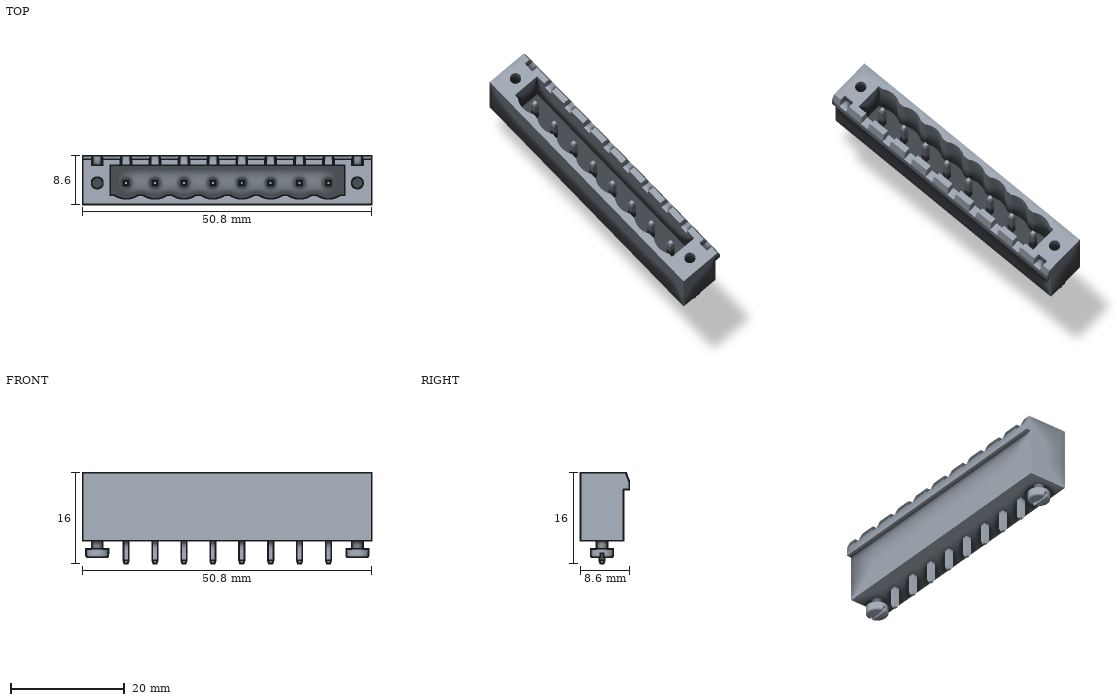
import cadquery as cq

PITCH = 5.08
PIN_COUNT = 8
STATION_COUNT = PIN_COUNT + 2
LENGTH = STATION_COUNT * PITCH
STATIONS = [(i - (STATION_COUNT - 1) / 2) * PITCH for i in range(STATION_COUNT)]
PIN_XS = STATIONS[1:-1]
SCREW_XS = [STATIONS[0], STATIONS[-1]]
AXIS_Y = 3.8

HEIGHT = 12.0
DEPTH = 8.6
LIP_OVERHANG = 1.0
LIP_HEIGHT = 3.0
LIP_BEVEL_DEPTH = 0.6
LIP_BEVEL_HEIGHT = 1.5

CAVITY_END_WALL = 4.8
CAVITY_LENGTH = LENGTH - 2 * CAVITY_END_WALL
CAVITY_FRONT_Y = 1.6
CAVITY_BACK_Y = 6.9
CAVITY_FLOOR_Z = 3.5
SCALLOP_WIDTH = 4.0
SCALLOP_DEPTH = 0.6

NOTCH_FRONT_Y = CAVITY_BACK_Y
NOTCH_TOP_WIDTH = 2.0
NOTCH_FLOOR_WIDTH = 1.5
NOTCH_DEPTH = 1.5

PIN_WIDTH = 1.0
PIN_TIP_WIDTH = 0.6
PIN_TIP_LENGTH = 0.6
PIN_BOTTOM_Z = -4.0
PIN_TOP_Z = 10.0

SCREW_DIAMETER = 2.0
SCREW_NECK_LENGTH = 1.4
SCREW_HEAD_DIAMETER = 4.0
SCREW_HEAD_HEIGHT = 1.5
SCREW_HEAD_FILLET = 0.4
SCREW_SLOT_WIDTH = 0.6
SCREW_SLOT_DEPTH = 0.75
HOLE_DIAMETER = SCREW_DIAMETER
HOLE_DEPTH = 6.0


def make_shell():
    """Block with a beveled latching lip along the top of its rear face."""
    wall_y = DEPTH - LIP_OVERHANG
    section = [
        (0, 0),
        (wall_y, 0),
        (wall_y, HEIGHT - LIP_HEIGHT),
        (DEPTH, HEIGHT - LIP_HEIGHT),
        (DEPTH, HEIGHT - LIP_BEVEL_HEIGHT),
        (DEPTH - LIP_BEVEL_DEPTH, HEIGHT),
        (0, HEIGHT),
    ]
    return cq.Workplane("YZ").polyline(section).close().extrude(LENGTH / 2, both=True)


def make_cavity():
    """Plug cavity whose front wall is scalloped opposite every pin."""
    half_length = CAVITY_LENGTH / 2
    outline = cq.Workplane("XY", origin=(0, 0, CAVITY_FLOOR_Z)).moveTo(-half_length, CAVITY_FRONT_Y)
    for x in PIN_XS:
        outline = outline.lineTo(x - SCALLOP_WIDTH / 2, CAVITY_FRONT_Y)
        bottom = (x, CAVITY_FRONT_Y - SCALLOP_DEPTH)
        outline = outline.threePointArc(bottom, (x + SCALLOP_WIDTH / 2, CAVITY_FRONT_Y))
    outline = outline.lineTo(half_length, CAVITY_FRONT_Y)
    outline = outline.lineTo(half_length, CAVITY_BACK_Y).lineTo(-half_length, CAVITY_BACK_Y).close()
    return outline.extrude(HEIGHT - CAVITY_FLOOR_Z)


def make_notch(x):
    """Tapered coding notch, open to the top and to the rear."""
    section = [
        (x - NOTCH_TOP_WIDTH / 2, HEIGHT),
        (x - NOTCH_FLOOR_WIDTH / 2, HEIGHT - NOTCH_DEPTH),
        (x + NOTCH_FLOOR_WIDTH / 2, HEIGHT - NOTCH_DEPTH),
        (x + NOTCH_TOP_WIDTH / 2, HEIGHT),
    ]
    plane = cq.Workplane("XZ", origin=(0, NOTCH_FRONT_Y, 0))
    return plane.polyline(section).close().extrude(NOTCH_FRONT_Y - DEPTH)


def make_pin(x):
    """Square contact pin, tapered at both ends."""
    def taper(base_z, tip_length):
        base = cq.Workplane("XY", origin=(x, AXIS_Y, base_z)).rect(PIN_WIDTH, PIN_WIDTH)
        return base.workplane(offset=tip_length).rect(PIN_TIP_WIDTH, PIN_TIP_WIDTH).loft(ruled=True)

    shank_bottom = PIN_BOTTOM_Z + PIN_TIP_LENGTH
    shank_top = PIN_TOP_Z - PIN_TIP_LENGTH
    shank = cq.Workplane("XY", origin=(x, AXIS_Y, shank_bottom))
    shank = shank.rect(PIN_WIDTH, PIN_WIDTH).extrude(shank_top - shank_bottom)
    return shank.union(taper(shank_bottom, -PIN_TIP_LENGTH)).union(taper(shank_top, PIN_TIP_LENGTH))


def make_screw(x):
    """Mounting screw below the housing, with a slot along X across its head."""
    head_bottom = -SCREW_NECK_LENGTH - SCREW_HEAD_HEIGHT
    neck = cq.Workplane("XY", origin=(x, AXIS_Y, 0)).circle(SCREW_DIAMETER / 2).extrude(-SCREW_NECK_LENGTH)
    head = cq.Workplane("XY", origin=(x, AXIS_Y, head_bottom))
    slot = head.rect(SCREW_HEAD_DIAMETER, SCREW_SLOT_WIDTH).extrude(SCREW_SLOT_DEPTH)
    head = head.circle(SCREW_HEAD_DIAMETER / 2).extrude(SCREW_HEAD_HEIGHT)
    head = head.faces("<Z").fillet(SCREW_HEAD_FILLET)
    return neck.union(head.cut(slot))


def make_screw_hole(x):
    """Blind hole in the housing top, in line with the screw."""
    return cq.Workplane("XY", origin=(x, AXIS_Y, HEIGHT)).circle(HOLE_DIAMETER / 2).extrude(-HOLE_DEPTH)


result = make_shell().cut(make_cavity())
for station_x in STATIONS:
    result = result.cut(make_notch(station_x))
for pin_x in PIN_XS:
    result = result.union(make_pin(pin_x))
for screw_x in SCREW_XS:
    result = result.cut(make_screw_hole(screw_x)).union(make_screw(screw_x))